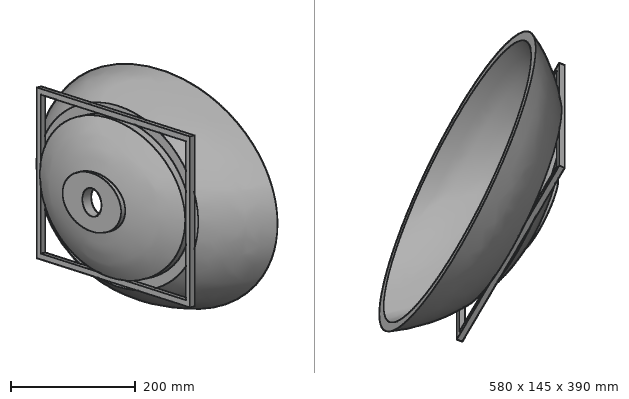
import cadquery as cq

total_depth = 145.0
rim_width = 580.0
rim_height = 390.0
wall = 14.0

bowl_sections = [
    (0.0, rim_width / 2, rim_height / 2),
    (45.0, 253.5, 182.0),
    (90.0, 199.0, 151.0),
    (116.0, 149.5, 117.5),
    (132.0, 95.5, 80.0),
    (140.0, 48.0, 37.0),
]

foot_scale = 0.25
foot_half_width = foot_scale * rim_width / 2
foot_half_height = foot_scale * rim_height / 2
drain_diameter = 47.0

frame_width = 380.0
frame_height = 285.0
frame_bar = 10.0
ledge_depth = 90.0
frame_opening_width = frame_width - 2 * frame_bar
frame_opening_height = frame_height - 2 * frame_bar


def plane_at(depth):
    """XZ sketch plane at the given depth, extruding positively toward the foot (-Y)."""
    return cq.Workplane("XZ", origin=(0, -depth, 0))


def elliptical_disc(start_depth, end_depth, half_width, half_height):
    """Straight elliptical block between two depths."""
    return plane_at(start_depth).ellipse(half_width, half_height).extrude(end_depth - start_depth)


def make_bowl_shell():
    """Smooth loft through the elliptical sections, hollowed out from the open rim."""
    wires = [
        plane_at(depth).ellipse(half_width, half_height).wires().val()
        for depth, half_width, half_height in bowl_sections
    ]
    bowl = cq.Workplane(obj=cq.Solid.makeLoft(wires))
    return bowl.faces(">Y").shell(-wall)


def make_ledge_cut():
    """Ring that steps the bowl in to an elliptical neck fitting the frame opening."""
    surround = plane_at(ledge_depth).rect(rim_width, rim_height).extrude(total_depth - ledge_depth)
    neck = elliptical_disc(ledge_depth, total_depth, frame_opening_width / 2, frame_opening_height / 2)
    return surround.cut(neck)


def make_basin():
    foot_start = bowl_sections[-1][0] - wall / 2
    foot = elliptical_disc(foot_start, total_depth, foot_half_width, foot_half_height)
    drain = plane_at(0).circle(drain_diameter / 2).extrude(total_depth)
    return make_bowl_shell().cut(make_ledge_cut()).union(foot).cut(drain).solids()


def make_frame():
    outer = plane_at(ledge_depth).rect(frame_width, frame_height)
    return outer.rect(frame_opening_width, frame_opening_height).extrude(frame_bar)


basin = make_basin()
frame = make_frame()

result = cq.Compound.makeCompound([basin.val(), frame.val()])